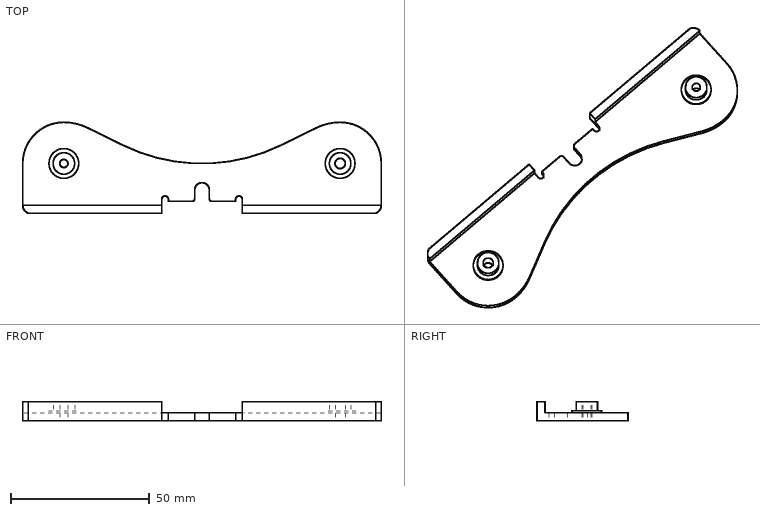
import cadquery as cq
import math

length = 130.0
depth = 33.0
height = 7.0
plate_thickness = 3.0

end_radius = 15.0
shoulder_radius = 19.5
waist_radius = 65.0

wall_thickness = 3.0
corner_setback = 2.1
gap_width = 29.1
gap_edge_y = 4.3

slot_width = 5.2
slot_end_y = 11.0
slot_mouth_radius = 1.0
relief_width = 2.3
relief_end_y = 6.2

flange_diameter = 10.8
flange_thickness = 0.8
boss_diameter = 7.8
left_hole_diameter = 2.9
right_hole_diameter = 3.6

half_length = length / 2
boss_x = half_length - end_radius
boss_y = depth - end_radius
waist_y = boss_y


def make_outline():
    """Closed plate outline, mirrored about X = 0, with its front edge at Y = 0."""
    radius_sum = shoulder_radius + waist_radius
    centre_rise = waist_y + waist_radius - (depth - shoulder_radius)
    centre_distance = math.hypot(boss_x, centre_rise)
    slope = math.atan2(boss_x, centre_rise) - math.acos(radius_sum / centre_distance)

    def on_shoulder(angle):
        x = boss_x - shoulder_radius * math.sin(angle)
        y = depth - shoulder_radius * (1 - math.cos(angle))
        return x, y

    waist_end_x = waist_radius * math.sin(slope)
    waist_end_y = waist_y + waist_radius * (1 - math.cos(slope))
    shoulder_end = on_shoulder(slope)
    shoulder_middle = on_shoulder(slope / 2)
    end_offset = end_radius * math.sqrt(0.5)
    end_middle = (boss_x + end_offset, boss_y + end_offset)

    corner_radius = (corner_setback**2 + wall_thickness**2) / (2 * corner_setback)
    half_angle = math.asin(wall_thickness / corner_radius) / 2
    corner_middle = (
        half_length - corner_radius * (1 - math.cos(half_angle)),
        wall_thickness - corner_radius * math.sin(half_angle),
    )

    def mirrored(point):
        return -point[0], point[1]

    return (
        cq.Workplane("XY")
        .moveTo(-half_length + corner_setback, 0)
        .lineTo(half_length - corner_setback, 0)
        .threePointArc(corner_middle, (half_length, wall_thickness))
        .lineTo(half_length, boss_y)
        .threePointArc(end_middle, (boss_x, depth))
        .threePointArc(shoulder_middle, shoulder_end)
        .lineTo(waist_end_x, waist_end_y)
        .threePointArc((0, waist_y), (-waist_end_x, waist_end_y))
        .lineTo(*mirrored(shoulder_end))
        .threePointArc(mirrored(shoulder_middle), (-boss_x, depth))
        .threePointArc(mirrored(end_middle), (-half_length, boss_y))
        .lineTo(-half_length, wall_thickness)
        .threePointArc(mirrored(corner_middle), (-half_length + corner_setback, 0))
        .close()
    )


def make_notch(center_x, width, end_y):
    """Cutter for a round-ended notch running in from the front edge."""
    radius = width / 2
    shoulder_y = end_y - radius
    return (
        cq.Workplane("XY")
        .moveTo(center_x - radius, 0)
        .lineTo(center_x + radius, 0)
        .lineTo(center_x + radius, shoulder_y)
        .threePointArc((center_x, end_y), (center_x - radius, shoulder_y))
        .close()
        .extrude(height)
    )


def make_boss(x):
    """Cylindrical boss standing on a thin round flange."""
    flange = (
        cq.Workplane("XY", origin=(x, boss_y, plate_thickness))
        .circle(flange_diameter / 2)
        .extrude(flange_thickness)
    )
    boss = (
        cq.Workplane("XY", origin=(x, boss_y, plate_thickness))
        .circle(boss_diameter / 2)
        .extrude(height - plate_thickness)
    )
    return flange.union(boss)


plate = make_outline().extrude(plate_thickness)
wall_strip = cq.Workplane("XY").box(length, wall_thickness, height, centered=(True, False, False))
wall = make_outline().extrude(height).intersect(wall_strip)
body = plate.union(wall)

gap = cq.Workplane("XY").box(gap_width, gap_edge_y, height, centered=(True, False, False))
body = body.cut(gap).cut(make_notch(0, slot_width, slot_end_y))
mouth_box = cq.selectors.BoxSelector(
    (-slot_width, gap_edge_y - slot_mouth_radius, 0),
    (slot_width, gap_edge_y + slot_mouth_radius, plate_thickness),
)
body = body.edges("|Z").edges(mouth_box).fillet(slot_mouth_radius)

relief_x = (gap_width - relief_width) / 2
for side in (-1, 1):
    body = body.cut(make_notch(side * relief_x, relief_width, relief_end_y))

for x, hole_diameter in ((-boss_x, left_hole_diameter), (boss_x, right_hole_diameter)):
    hole = cq.Workplane("XY", origin=(x, boss_y, 0)).circle(hole_diameter / 2).extrude(height)
    body = body.union(make_boss(x)).cut(hole)

result = body